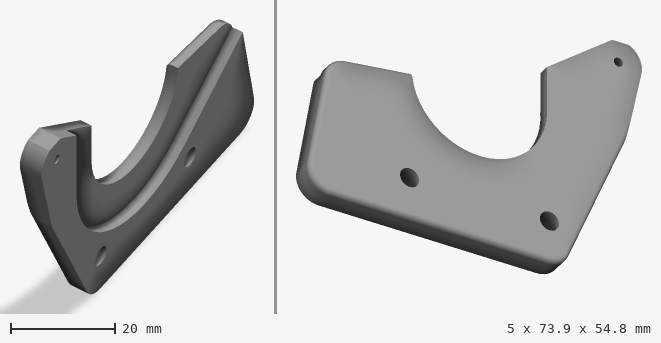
import cadquery as cq
import math

thickness = 5.0
step_depth = 2.6
edge_round = 1.0
corner_radius = 5.0

bore_radius = 15.0
recess_radius = 23.9

bottom_z = -34.0
bottom_left = (38.8, bottom_z)
top_left = (33.3, -2.9)
bottom_right = (-18.9, bottom_z)
side_bend = (-32.5, -1.3)
top_edge_end = (0, 1.0)

lug_center = (-30.8, 16.2)
lug_radius = 5.25
lug_hole_diameter = 2.0
lug_top_z = 20.8
lug_flat_start_y = -29.4
lug_slope_base_z = 10.05

mount_hole_diameter = 4.2
mount_hole_y = 15.5
mount_hole_z = -24.9

wall_angle = 34.0

overrun = 14.8


def point_on_line(start, end, z):
    """Point at height z on the line through two (Y, Z) points."""
    ratio = (z - start[1]) / (end[1] - start[1])
    return (start[0] + ratio * (end[0] - start[0]), z)


def point_on_circle(center, radius, angle):
    return (center[0] + radius * math.cos(angle), center[1] + radius * math.sin(angle))


def make_rounded_blank():
    """Plate whose right side runs straight up, with rounded corners and outer edge."""
    top_z = lug_top_z + overrun
    blank = (
        cq.Workplane("YZ")
        .polyline([
            bottom_left, top_left, top_edge_end, (top_edge_end[0], top_z),
            point_on_line(bottom_right, side_bend, top_z), bottom_right,
        ])
        .close()
        .extrude(thickness)
    )
    for y, z in (bottom_left, top_left, bottom_right):
        corner = cq.selectors.NearestToPointSelector((thickness / 2, y, z))
        blank = blank.edges(corner).fillet(corner_radius)
    outer = blank.faces("<X").edges("not(|Z or |Y)")
    bottom_edge = blank.faces("<Z").edges("<X")
    outer = outer.add(bottom_edge)
    return outer.fillet(edge_round)


def make_outline():
    """Full outline, with the lug end concentric with its hole."""
    dy = side_bend[0] - lug_center[0]
    dz = side_bend[1] - lug_center[1]
    tangent_angle = math.atan2(dz, dy) - math.acos(lug_radius / math.hypot(dy, dz))
    flat_angle = math.pi - math.asin((lug_top_z - lug_center[1]) / lug_radius)
    middle_angle = (flat_angle + tangent_angle % (2 * math.pi)) / 2
    return (
        cq.Workplane("YZ")
        .moveTo(*bottom_left)
        .lineTo(*bottom_right)
        .lineTo(*side_bend)
        .lineTo(*point_on_circle(lug_center, lug_radius, tangent_angle))
        .threePointArc(
            point_on_circle(lug_center, lug_radius, middle_angle),
            point_on_circle(lug_center, lug_radius, flat_angle),
        )
        .lineTo(lug_flat_start_y, lug_top_z)
        .lineTo(-bore_radius, lug_slope_base_z)
        .lineTo(-bore_radius, top_edge_end[1])
        .lineTo(*top_edge_end)
        .lineTo(*top_left)
        .close()
        .extrude(thickness)
    )


def make_recess():
    """Wide rear recess: vertical wall, arc about the bore axis and tangent sloping wall."""
    ramp_angle = math.radians(wall_angle)
    arc_end = point_on_circle((0, 0), recess_radius, -math.pi / 2 + ramp_angle)
    arc_middle = point_on_circle((0, 0), recess_radius, -3 * math.pi / 4 + ramp_angle / 2)
    run = 2 * recess_radius
    wall_end = (arc_end[0] + run * math.cos(ramp_angle), arc_end[1] + run * math.sin(ramp_angle))
    top_z = lug_top_z + overrun
    return (
        cq.Workplane("YZ", origin=(step_depth, 0, 0))
        .moveTo(-recess_radius, top_z)
        .lineTo(-recess_radius, 0)
        .threePointArc(arc_middle, arc_end)
        .lineTo(*wall_end)
        .lineTo(wall_end[0], top_z)
        .close()
        .extrude(thickness)
    )


def make_hole(y, z, diameter):
    return cq.Workplane("YZ").center(y, z).circle(diameter / 2).extrude(thickness)


result = make_rounded_blank().intersect(make_outline())
result = result.cut(make_hole(0, 0, 2 * bore_radius))
result = result.cut(make_recess())
result = result.cut(make_hole(*lug_center, lug_hole_diameter))
for side in (-1, 1):
    result = result.cut(make_hole(side * mount_hole_y, mount_hole_z, mount_hole_diameter))